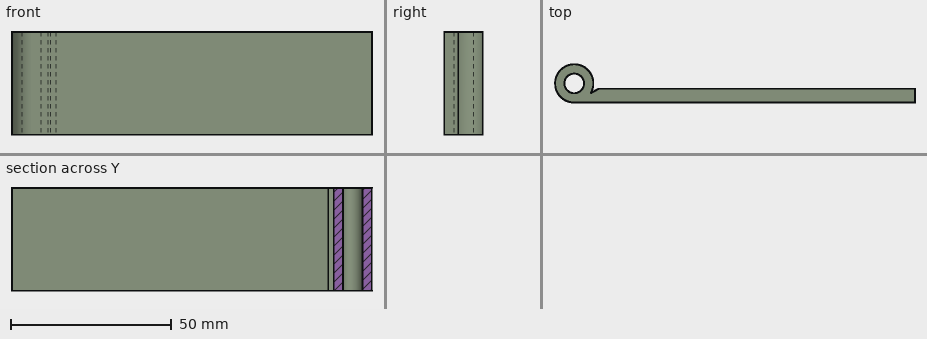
import cadquery as cq
import math

length = 112.0
height = 32.0
knuckle_diameter = 12.0
pin_diameter = 6.0
leaf_thickness = 4.4
notch_depth = 1.3
notch_end = 7.6

knuckle_radius = knuckle_diameter / 2
front_y = -knuckle_radius
back_y = front_y + leaf_thickness
leaf_end = length - knuckle_radius
notch_y = back_y - notch_depth
notch_x = math.sqrt(knuckle_radius**2 - notch_y**2)


def make_leaf():
    """Flat leaf, with a sloped end that forms a V notch against the knuckle."""
    return (
        cq.Workplane("XY")
        .moveTo(0, front_y)
        .lineTo(leaf_end, front_y)
        .lineTo(leaf_end, back_y)
        .lineTo(notch_end, back_y)
        .lineTo(notch_x, notch_y)
        .lineTo(0, notch_y)
        .close()
        .extrude(height)
    )


def make_knuckle():
    """Round barrel at the end of the leaf."""
    return cq.Workplane("XY").circle(knuckle_radius).extrude(height)


def make_pin_hole():
    """Through hole for the hinge pin."""
    return cq.Workplane("XY").circle(pin_diameter / 2).extrude(height)


result = make_knuckle().union(make_leaf()).cut(make_pin_hole())